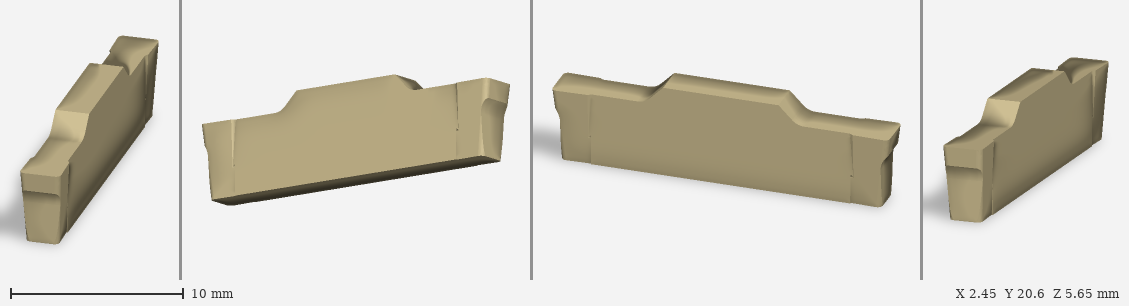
import cadquery as cq
import math

length = 20.6
height = 5.65
body_width = 2.04
body_length = 15.82
body_upper_length = 16.32
notch_inner_z = 1.87
notch_outer_z = 1.69
deck_height = 4.51

hump_top_length = 7.05
hump_angle = math.radians(45)
hump_blend_radius = 1.03

tip_width = 2.47
shoulder_width = 2.33
shoulder_y = 8.1
ramp_end_y = 7.9
ramp_blend_radius = 0.25
head_root_y = 7.2
side_relief = math.radians(2.8)
end_relief = math.radians(6.6)
corner_radius = 0.3

undercut_y = 9.78
land_height = 1.15
undercut_radius = 1.13
cutter_margin = 0.41
selection_slack = 0.02


def make_body():
    """Parallel-sided body with the hump blended into the deck."""
    blend_run = hump_blend_radius * math.sin(hump_angle)
    blend_rise = hump_blend_radius * (1 - math.cos(hump_angle))
    slope_run = (height - deck_height - blend_rise) / math.tan(hump_angle)
    top_y = hump_top_length / 2
    slope_y = top_y + slope_run
    blend_y = slope_y + blend_run
    blend_z = deck_height + blend_rise
    mid_y = blend_y - hump_blend_radius * math.sin(hump_angle / 2)
    mid_z = deck_height + hump_blend_radius * (1 - math.cos(hump_angle / 2))
    return (
        cq.Workplane("YZ")
        .moveTo(-body_length / 2, 0)
        .lineTo(body_length / 2, 0)
        .lineTo(body_length / 2, notch_inner_z)
        .lineTo(body_upper_length / 2, notch_outer_z)
        .lineTo(body_upper_length / 2, deck_height)
        .lineTo(blend_y, deck_height)
        .threePointArc((mid_y, mid_z), (slope_y, blend_z))
        .lineTo(top_y, height)
        .lineTo(-top_y, height)
        .lineTo(-slope_y, blend_z)
        .threePointArc((-mid_y, mid_z), (-blend_y, deck_height))
        .lineTo(-body_upper_length / 2, deck_height)
        .lineTo(-body_upper_length / 2, notch_outer_z)
        .lineTo(-body_length / 2, notch_inner_z)
        .close()
        .extrude(body_width / 2, both=True)
    )


def head_outline(z, ramped):
    """Head outline at height z; the reliefs shrink it downward."""
    depth = deck_height - z
    inset = depth * math.tan(side_relief)
    end_y = length / 2 - depth * math.tan(end_relief)
    back_taper = (tip_width - shoulder_width) / 2 / (length / 2 - shoulder_y)
    shoulder_x = shoulder_width / 2 - inset
    tip_x = shoulder_x + back_taper * (end_y - shoulder_y)
    if ramped:
        root_x = body_width / 2 - inset
        inner_side = [(root_x, -head_root_y), (root_x, -ramp_end_y), (shoulder_x, -shoulder_y)]
    else:
        straight_x = shoulder_x - back_taper * (shoulder_y - head_root_y)
        inner_side = [(straight_x, -head_root_y)]
    right_side = inner_side + [(tip_x, -end_y)]
    left_side = [(-x, y) for x, y in reversed(right_side)]
    points = [cq.Vector(x, y, z) for x, y in right_side + left_side]
    return cq.Wire.makePolygon(points, close=True)


def make_undercut():
    """Cutter for the vertical end face and the concave arc above it."""
    arc_top_z = deck_height - land_height
    arc_top_y = length / 2 - land_height * math.tan(end_relief)
    arc_depth = arc_top_y - undercut_y
    turn = math.acos(1 - arc_depth / undercut_radius)
    arc_bottom_z = arc_top_z - undercut_radius * math.sin(turn)
    mid_y = undercut_y + undercut_radius * (1 - math.cos(turn / 2))
    mid_z = arc_bottom_z + undercut_radius * math.sin(turn / 2)
    outer_y = length / 2 + cutter_margin
    return (
        cq.Workplane("YZ")
        .moveTo(-undercut_y, -cutter_margin)
        .lineTo(-undercut_y, arc_bottom_z)
        .threePointArc((-mid_y, mid_z), (-arc_top_y, arc_top_z))
        .lineTo(-outer_y, arc_top_z)
        .lineTo(-outer_y, -cutter_margin)
        .close()
        .extrude(tip_width, both=True)
    )


def make_blank(ramped):
    """Relieved head blank with rounded corners, with or without the rear ramps."""
    wires = [head_outline(0, ramped), head_outline(deck_height, ramped)]
    blank = cq.Workplane(obj=cq.Solid.makeLoft(wires, True))
    return blank.faces("<Y").edges("<X or >X").fillet(corner_radius)


def make_head():
    """Cutting head at the -Y end: ramped above the notch, straight-sided below it."""
    ramp_foot = cq.selectors.BoxSelector(
        (-tip_width, -ramp_end_y - selection_slack, selection_slack),
        (tip_width, -ramp_end_y + selection_slack, deck_height - selection_slack),
    )
    upper = make_blank(True).edges(ramp_foot).fillet(ramp_blend_radius)
    below_notch = cq.Workplane().box(
        2 * tip_width, 2 * length, notch_outer_z, centered=(True, True, False)
    )
    lower = make_blank(False).intersect(below_notch)
    return upper.union(lower).cut(make_undercut())


head = make_head()
result = make_body().union(head).union(head.mirror("XZ"))